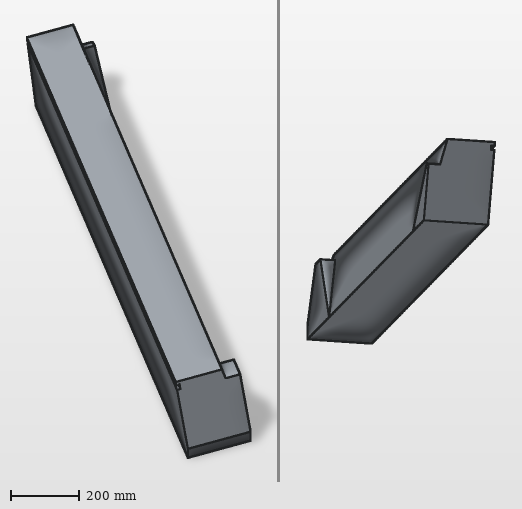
import cadquery as cq

length = 1449.0
width = 194.0
height = 229.0

left_overhang = 81.0
top_right_x = 1339.0
right_toe_height = 43.0

back_lean = 50.0

groove_lip = 10.0
groove_height = 12.0
groove_depth = 10.0

left_lug_start_z = height - 72.0
left_lug_peak_x = 46.0
left_lug_peak_z = height - 65.0
left_lug_foot_x = 210.0

right_lug_foot_x = 1194.0
right_lug_peak_x = 1297.0
right_lug_top_z = height - 26.0


def left_end_x(z):
    """X of the slanted left end at height z."""
    return left_overhang * (1 - z / height)


def right_end_x(z):
    """X of the slanted right end at height z above the toe."""
    slope = (length - top_right_x) / (height - right_toe_height)
    return top_right_x + slope * (height - z)


def extrude_across(outline):
    """Extrude an XZ outline over the full width, from the front face at y = 0."""
    return cq.Workplane("XZ").polyline(outline).close().extrude(-width)


def extrude_along(outline):
    """Extrude a YZ outline over the full length."""
    return cq.Workplane("YZ").polyline(outline).close().extrude(length)


def make_core():
    """Beam with slanted ends and a leaning back face."""
    beam = extrude_across([
        (left_overhang, 0),
        (length, 0),
        (length, right_toe_height),
        (top_right_x, height),
        (0, height),
    ])
    section = extrude_along([
        (0, 0),
        (width, 0),
        (width - back_lean, height),
        (0, height),
    ])
    return beam.intersect(section)


def make_left_lug():
    return extrude_across([
        (left_overhang, 0),
        (left_lug_foot_x, 0),
        (left_lug_peak_x, left_lug_peak_z),
        (left_end_x(left_lug_start_z), left_lug_start_z),
    ])


def make_right_lug():
    return extrude_across([
        (right_lug_foot_x, 0),
        (length, 0),
        (length, right_toe_height),
        (right_end_x(right_lug_top_z), right_lug_top_z),
        (right_lug_peak_x, right_lug_top_z),
    ])


def make_groove():
    groove_top = height - groove_lip
    groove_bottom = groove_top - groove_height
    return extrude_along([
        (0, groove_bottom),
        (groove_depth, groove_bottom),
        (groove_depth, groove_top),
        (0, groove_top),
    ])


result = make_core().union(make_left_lug()).union(make_right_lug()).cut(make_groove())